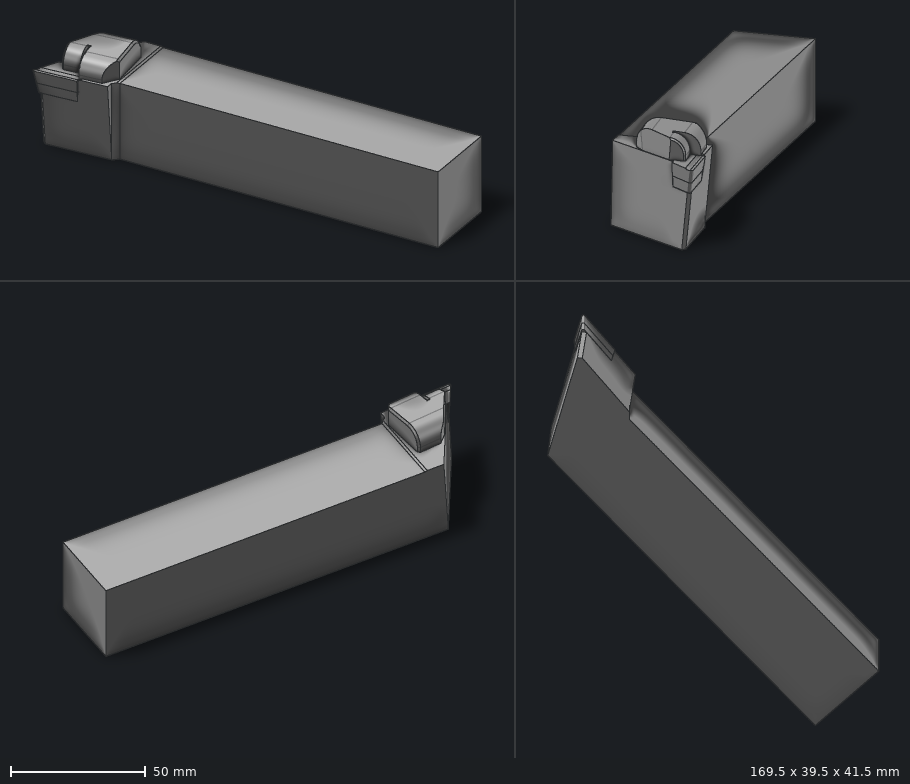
import cadquery as cq
import math

length = 169.5
shank_size = 32.0
head_length = 30.9
flare_end = 33.2
flare_offset = 2.2
head_rise = 0.3
step_length = 1.0
head_lean = 5.5

edge_angle = 3.5
nose_angle = 55.0
end_angle = edge_angle + nose_angle

flat_end = (2.0, -5.6)
flat_side = (3.4, -6.8)

nose_radius = 0.7
nose_overhang = 7.5
nose_height = 31.9
edge_length = 19.0
insert_width = 9.7
insert_thickness = 5.3
shim_thickness = 4.2
seat_opening_height = 3.4
flank_taper = 5.0
insert_tilt = 3.5
groove_radius = 2.0
groove_depth = 0.3
groove_inset = 2.2

clamp_angle = 5.0
clamp_end = 31.9
clamp_front = -6.3
clamp_back = 19.2
clamp_height_front = 40.0
clamp_slope = 4.7
clamp_round = 6.8
clamp_edge_break = 0.8
bevel_length = 4.5
bevel_width = 5.8
clamp_setback = 0.3
end_bevel_side = (21.9, clamp_back)
end_bevel_end = (15.5, 13.9)
clamp_base = 27.1
finger_start = 9.0
finger_end = 17.1
finger_gap = 0.7
finger_front = -2.4
finger_round = 6.6
finger_edge_break = 0.7

clear_height = 50.9
clear_depth = 50.9


def on_line(start, angle, x=None, y=None):
    """Point with the given X or Y on the line through start at an angle to the X axis."""
    slope = math.tan(math.radians(angle))
    if y is None:
        return (x, start[1] + (x - start[0]) * slope)
    return (start[0] + (y - start[1]) / slope, y)


def make_flank_wedge():
    """Everything behind the three leaning front faces of the head."""
    lean = math.tan(math.radians(head_lean))
    outline = [
        flat_end,
        flat_side,
        on_line(flat_side, edge_angle, x=clear_depth),
        (clear_depth, clear_depth),
        on_line(flat_end, end_angle, y=clear_depth),
    ]

    def section_at(z):
        return [(x, y + (shank_size - z) * lean) for x, y in outline]

    return (
        cq.Workplane("XY").polyline(section_at(0)).close()
        .workplane(offset=clear_height).polyline(section_at(clear_height)).close()
        .loft(ruled=True)
    )


def make_head(flank_wedge):
    """Head cut from the wedge, up to its raised top."""
    head_top = shank_size + head_rise
    space = cq.Workplane("XY").box(
        head_length, 2 * shank_size, head_top, centered=(False, True, False)
    )
    return flank_wedge.intersect(space)


def make_shank():
    """Square bar with the flare that widens it to the head."""
    return (
        cq.Workplane("XY")
        .polyline([
            (head_length, -flare_offset),
            (flare_end, 0),
            (length, 0),
            (length, shank_size),
            (head_length, shank_size),
        ])
        .close().extrude(shank_size)
    )


def make_step():
    """Sloped step from the raised head top down to the shank top."""
    step = (
        cq.Workplane("XZ", origin=(0, shank_size, 0))
        .polyline([
            (head_length, shank_size),
            (flare_end, shank_size),
            (flare_end - step_length, shank_size + head_rise),
            (head_length, shank_size + head_rise),
        ])
        .close().extrude(shank_size + flare_offset)
    )
    return step.intersect(make_shank().translate((0, 0, head_rise)))


def make_rounded_bar(start, end, front, back, radius):
    """Bar along X with the clamp's sloping top; radius rounds its front top edge."""
    slope = math.tan(math.radians(clamp_slope))
    front_height = clamp_height_front + (front - clamp_front) * slope
    back_height = clamp_height_front + (back - clamp_front) * slope
    return (
        cq.Workplane("YZ", origin=(start, 0, 0))
        .polyline([
            (front, clamp_base),
            (back, clamp_base),
            (back, back_height),
            (front, front_height),
        ])
        .close().extrude(end - start)
        .edges(cq.selectors.NearestToPointSelector(((start + end) / 2, front, front_height)))
        .fillet(radius)
    )


def make_clamp(flank_wedge):
    """Rounded clamp with its finger, trimmed just behind the slanted end of the head."""
    body = (
        make_rounded_bar(0, clamp_end, clamp_front, clamp_back, clamp_round)
        .edges("|X and >Z").fillet(clamp_round)
        .faces(">X").edges("not <Z").chamfer(clamp_edge_break)
    )
    rear_bevel = (
        cq.Workplane("XY")
        .polyline([
            (clamp_end - bevel_length, clamp_front),
            (clamp_end, clamp_front),
            (clamp_end, clamp_front + bevel_width),
        ])
        .close().extrude(clear_height)
    )
    end_bevel = (
        cq.Workplane("XY")
        .polyline([end_bevel_side, end_bevel_end, (0, end_bevel_end[1]), (0, clamp_back)])
        .close().extrude(clear_height)
    )
    finger_back = finger_front + finger_round
    clearance = (
        cq.Workplane("XY")
        .box(finger_end + finger_gap, finger_back - clamp_front, clear_height, centered=False)
        .translate((0, clamp_front, 0))
    )
    finger = (
        make_rounded_bar(finger_start, finger_end, finger_front, finger_back + finger_round, finger_round)
        .faces("<X or >X").edges("not <Z").chamfer(finger_edge_break)
    )
    clamp = body.cut(rear_bevel).cut(end_bevel).cut(clearance).union(finger)
    return (
        clamp.rotate((0, 0, 0), (0, 0, 1), clamp_angle)
        .intersect(flank_wedge.translate((clamp_setback, 0, 0)))
    )


def place_at_nose(shape):
    """Moves a shape built with its nose centre at the origin into the tilted seat."""
    return (
        shape.rotate((0, 0, 0), (0, 0, 1), edge_angle)
        .rotate((0, 0, 0), (1, 0, 0), insert_tilt)
        .translate((nose_radius, nose_radius - nose_overhang, nose_height))
    )


def make_seat_block():
    """Tapered parallelogram that holds the insert and, below it, the shim."""
    nose_x = -nose_radius / math.tan(math.radians(nose_angle / 2))
    side_run = insert_width / math.tan(math.radians(nose_angle))
    return (
        cq.Workplane("XY")
        .polyline([
            (nose_x, -nose_radius),
            (nose_x + edge_length, -nose_radius),
            (nose_x + edge_length + side_run, insert_width - nose_radius),
            (nose_x + side_run, insert_width - nose_radius),
        ])
        .close().extrude(-insert_thickness - shim_thickness, taper=flank_taper)
        .edges(cq.selectors.NearestToPointSelector((nose_x, -nose_radius, -insert_thickness)))
        .fillet(nose_radius)
    )


def make_insert_layer():
    """Slab between the insert's top and its underside, much wider than the insert."""
    return (
        cq.Workplane("XY")
        .rect(2 * clear_depth, 2 * clear_depth)
        .extrude(-insert_thickness)
    )


def make_insert(seat_block, insert_layer):
    """Upper layer of the block, with the chip groove along the cutting edge."""
    groove = (
        cq.Workplane("YZ", origin=(-clear_depth, 0, 0))
        .center(groove_inset - nose_radius, groove_radius - groove_depth)
        .circle(groove_radius).extrude(2 * clear_depth)
    )
    return place_at_nose(seat_block.intersect(insert_layer).cut(groove))


def make_seat_opening(seat_block):
    """Space straight above the insert, which lets it into the head from the top."""
    return seat_block.faces(">Z").wires().toPending().extrude(seat_opening_height, combine=False)


def make_holder(seat_block, insert_layer):
    """Shank, head, clamp and shim in one solid, with the seat for the insert."""
    flank_wedge = make_flank_wedge()
    shim = place_at_nose(seat_block.cut(insert_layer))
    seat_opening = place_at_nose(make_seat_opening(seat_block))
    blank = make_shank().union(make_step()).union(make_head(flank_wedge)).cut(seat_opening)
    return blank.union(make_clamp(flank_wedge)).cut(place_at_nose(seat_block)).union(shim)


seat_block = make_seat_block()
insert_layer = make_insert_layer()
holder = make_holder(seat_block, insert_layer)
insert = make_insert(seat_block, insert_layer)

result = cq.Compound.makeCompound([*holder.vals(), *insert.vals()])